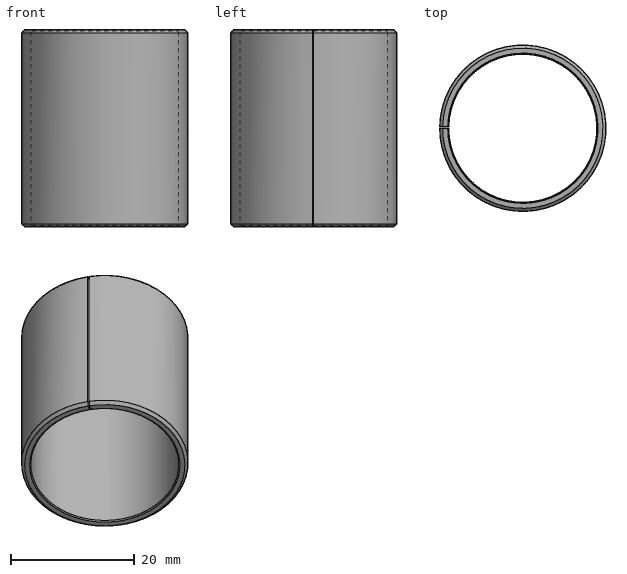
import cadquery as cq

length = 32.0
outer_diameter = 27.0
wall = 1.5
outer_chamfer = 0.5
inner_chamfer = 0.2
seam_angle = 1.0

outer_radius = outer_diameter / 2
inner_radius = outer_radius - wall
half_length = length / 2

wall_section = (
    cq.Workplane("XZ")
    .moveTo(-inner_radius, -half_length + inner_chamfer)
    .lineTo(-inner_radius - inner_chamfer, -half_length)
    .lineTo(-outer_radius + outer_chamfer, -half_length)
    .lineTo(-outer_radius, -half_length + outer_chamfer)
    .lineTo(-outer_radius, half_length - outer_chamfer)
    .lineTo(-outer_radius + outer_chamfer, half_length)
    .lineTo(-inner_radius - inner_chamfer, half_length)
    .lineTo(-inner_radius, half_length - inner_chamfer)
    .close()
)

result = wall_section.revolve(360 - seam_angle, (0, 0, 0), (0, 1, 0))